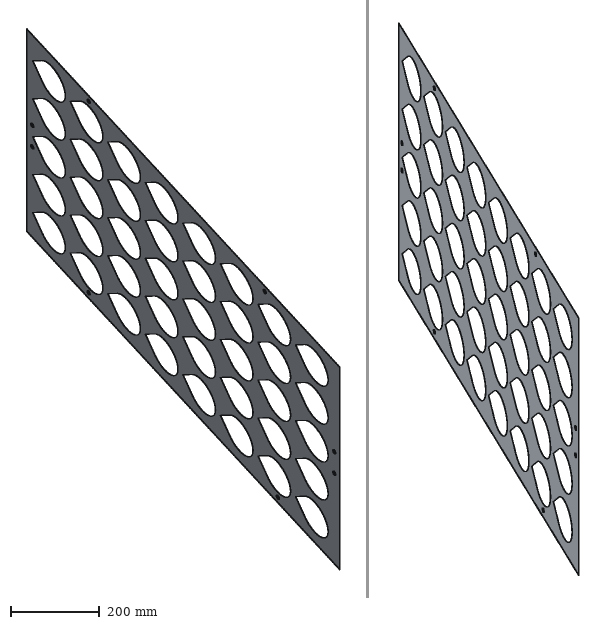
import cadquery as cq
import math

SHEET_LENGTH = 1219.0
SHEET_HEIGHT = 711.0
SHEET_THICKNESS = 1.5

COLUMNS = 8
ROWS = 5
COLUMN_SPAN = 1023.0
ROW_SPAN = 533.0
COLUMN_PITCH = COLUMN_SPAN / (COLUMNS - 1)
ROW_PITCH = ROW_SPAN / (ROWS - 1)
TEARDROP_RADIUS = 52.0
TIP_HALF_ANGLE = math.radians(45)

FIXING_DIAMETER = 11.0
SIDE_HOLE_X = 588.0
SIDE_HOLE_Z = 38.0
EDGE_HOLE_X = 368.0
EDGE_HOLE_Z = 336.0
TOP_RIGHT_HOLE_X = 317.0

FIXING_POINTS = [
    (-SIDE_HOLE_X, SIDE_HOLE_Z),
    (-SIDE_HOLE_X, -SIDE_HOLE_Z),
    (SIDE_HOLE_X, SIDE_HOLE_Z),
    (SIDE_HOLE_X, -SIDE_HOLE_Z),
    (-EDGE_HOLE_X, -EDGE_HOLE_Z),
    (EDGE_HOLE_X, -EDGE_HOLE_Z),
    (-EDGE_HOLE_X, EDGE_HOLE_Z),
    (TOP_RIGHT_HOLE_X, EDGE_HOLE_Z),
]


def back_plane():
    """Sketch plane on the +Y face, with local x along X, local y along Z and extrusion toward -Y."""
    return cq.Workplane("XZ", origin=(0, SHEET_THICKNESS / 2, 0))


def make_sheet():
    return back_plane().rect(SHEET_LENGTH, SHEET_HEIGHT).extrude(SHEET_THICKNESS)


def teardrop_cutter():
    """Round opening whose tangent lines meet in a tip on the -X side."""
    tip_x = -TEARDROP_RADIUS / math.sin(TIP_HALF_ANGLE)
    tangent_x = -TEARDROP_RADIUS * math.sin(TIP_HALF_ANGLE)
    tangent_z = TEARDROP_RADIUS * math.cos(TIP_HALF_ANGLE)
    return (
        back_plane()
        .moveTo(tip_x, 0)
        .lineTo(tangent_x, tangent_z)
        .threePointArc((TEARDROP_RADIUS, 0), (tangent_x, -tangent_z))
        .close()
        .extrude(SHEET_THICKNESS)
        .val()
    )


def cut_teardrops(sheet):
    cutter = teardrop_cutter()
    cutters = []
    for column in range(COLUMNS):
        centre_x = column * COLUMN_PITCH - COLUMN_SPAN / 2
        for row in range(ROWS):
            centre_z = row * ROW_PITCH - ROW_SPAN / 2
            cutters.append(cutter.translate(cq.Vector(centre_x, 0, centre_z)))
    return sheet.cut(cq.Workplane(cq.Compound.makeCompound(cutters)))


def cut_fixing_holes(sheet):
    cutters = (
        back_plane()
        .pushPoints(FIXING_POINTS)
        .circle(FIXING_DIAMETER / 2)
        .extrude(SHEET_THICKNESS)
    )
    return sheet.cut(cutters)


sheet_with_teardrops = cut_teardrops(make_sheet())
result = cut_fixing_holes(sheet_with_teardrops).solids()